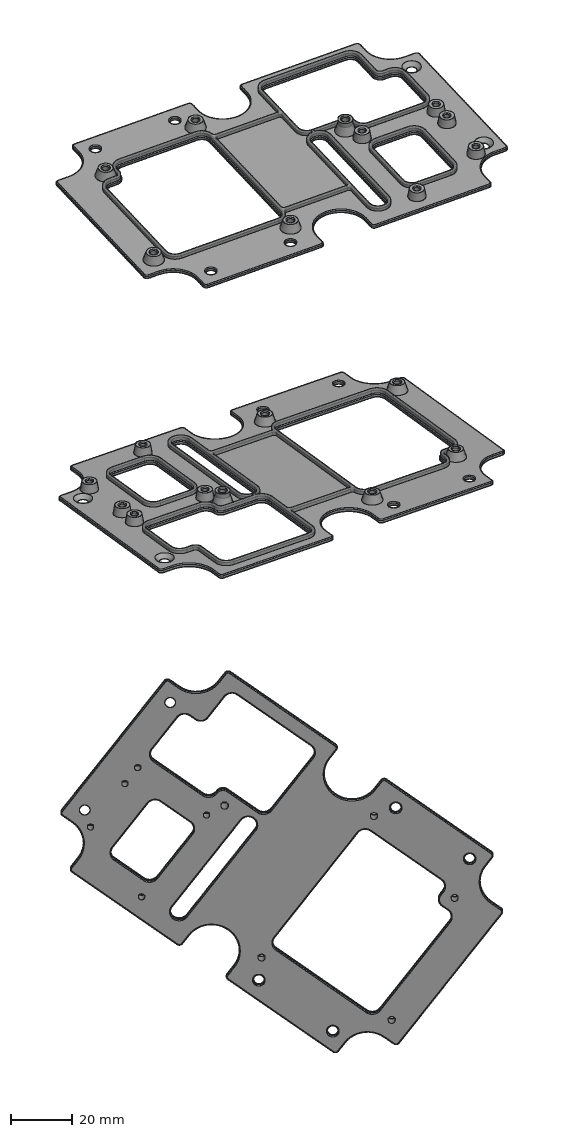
import cadquery as cq

LENGTH = 137.0
WIDTH = 87.0
PLATE = 1.5
EDGE_CHAMFER = 0.34
CORNER_RADIUS = 1.2
NOTCH_RADIUS = 9.0
NOTCH_X = 38.5
WING_TOP = 54.3

OPENING_RADIUS = 2.9
SLOT_LEFT, SLOT_RIGHT = -6.8, 36.6
SLOT_BOTTOM, SLOT_TOP = 13.8, 19.5
SLOT_Y = (SLOT_BOTTOM + SLOT_TOP) / 2
UPPER_INNER_X = -9.7
LOWER_TOP = -13.8

UPPER_OPENING = [
    (-38.5, SLOT_BOTTOM), (UPPER_INNER_X, SLOT_BOTTOM), (UPPER_INNER_X, 31.8), (-3.8, 31.8),
    (-3.8, 57.5), (-23.4, 57.5), (-23.4, 49.5), (-38.5, 49.5),
]
WINDOW = [(6.5, 29.6), (31.5, 29.6), (31.5, 47.4), (6.5, 47.4)]
LOWER_OPENING = [
    (-18.8, -56.3), (25.5, -56.3), (25.5, LOWER_TOP), (-26.0, LOWER_TOP), (-26.0, -48.2), (-18.8, -48.2),
]

RIM_TOP = 3.0
RIM_WIDTH = 1.1
RIM_SETBACK = EDGE_CHAMFER
RIM_ROUNDING = 0.34
RIB_X = 22.5
BRIDGE_WIDTH = 1.4
JUNCTION_RADIUS = 1.0

BOSS_TIP_DIAMETER = 5.0
SLIM_BASE, BROAD_BASE = 6.0, 7.0
BOSS_TOP = 4.7
TALL_BOSS_TOP = 6.3
SMALL_HOLE, MEDIUM_HOLE, LARGE_HOLE = 2.0, 2.3, 2.5
UPPER_BOSSES = [(1.2, 57.5), (8.2, 57.5), (27.1, 57.5), (1.2, 29.6), (36.9, 29.6)]
LOWER_BOSSES = [(-31.0, -14.5), (30.7, -14.5), (-23.5, -52.7), (23.0, -61.6)]
TALL_BOSS = (-5.0, 26.9)

SCREW_HOLE = 3.4
COUNTERSINK = 6.3
COUNTERSUNK_HOLES = [(-23.4, 62.6), (23.4, 62.6)]
SIDE_HOLES = [(x, y) for x in (-37.5, 37.5) for y in (-18.5, -48.5)]


def turned(profile, center):
    """Solid of revolution about a vertical axis at center, from (radius, height) points."""
    return (
        cq.Workplane("XZ").polyline(profile).close()
        .revolve(360, (0, 0, 0), (0, 1, 0)).translate((*center, 0))
    )


def flared_hole(center, diameter, mouth_diameter, top):
    """Through hole whose mouth opens at 45 degrees to mouth_diameter at height top."""
    radius = diameter / 2
    mouth = mouth_diameter / 2
    return turned([(0, 0), (radius, 0), (radius, top + radius - mouth), (mouth, top), (0, top)], center)


def boss(center, base_diameter, top):
    """Tapered standoff, with a straight neck where it rises above BOSS_TOP."""
    base = base_diameter / 2
    neck = BOSS_TIP_DIAMETER / 2
    profile = [(0, 0), (base, 0), (base, PLATE), (neck, BOSS_TOP)]
    if top > BOSS_TOP:
        profile.append((neck, top))
    profile.append((0, top))
    return turned(profile, center)


def opening_prism(points):
    return cq.Workplane("XY").polyline(points).close().extrude(RIM_TOP).edges("|Z").fillet(OPENING_RADIUS)


def slot_prism():
    return (
        cq.Workplane("XY").center((SLOT_LEFT + SLOT_RIGHT) / 2, SLOT_Y)
        .slot2D(SLOT_RIGHT - SLOT_LEFT, SLOT_TOP - SLOT_BOTTOM).extrude(RIM_TOP)
    )


def grown(prism, distance):
    return prism.faces("<Z").wires().toPending().offset2D(distance).extrude(RIM_TOP)


def bar(x0, x1, y0, y1):
    return cq.Workplane("XY").box(x1 - x0, y1 - y0, RIM_TOP, centered=False).translate((x0, y0, 0))


def make_outline():
    neck_x = NOTCH_X - NOTCH_RADIUS
    quarter = (
        cq.Workplane("XY").lineTo(0, LENGTH / 2)
        .lineTo(neck_x, LENGTH / 2)
        .lineTo(neck_x, WING_TOP + NOTCH_RADIUS)
        .radiusArc((NOTCH_X, WING_TOP), -NOTCH_RADIUS)
        .lineTo(WIDTH / 2, WING_TOP)
        .lineTo(WIDTH / 2, NOTCH_RADIUS)
        .lineTo(NOTCH_X, NOTCH_RADIUS)
        .radiusArc((neck_x, 0), -NOTCH_RADIUS)
        .close().extrude(PLATE)
    )
    for x, y in ((neck_x, LENGTH / 2), (WIDTH / 2, WING_TOP), (WIDTH / 2, NOTCH_RADIUS)):
        corner = cq.selectors.NearestToPointSelector((x, y, PLATE / 2))
        quarter = quarter.edges(corner).fillet(CORNER_RADIUS)
    half = quarter.union(quarter.mirror("YZ"))
    return half.union(half.mirror("XZ"))


def make_plate(openings):
    plate = make_outline()
    for opening in openings:
        plate = plate.cut(opening)
    holes = cq.Workplane("XY").pushPoints(SIDE_HOLES).circle(SCREW_HOLE / 2).extrude(PLATE)
    return plate.cut(holes).faces("<Z or >Z").edges().chamfer(EDGE_CHAMFER)


def make_rims(openings):
    """Rims around the openings and ribs between them, rounded at their junctions and along the top."""
    reach = RIM_SETBACK + RIM_WIDTH
    rims = bar(UPPER_INNER_X, SLOT_LEFT, SLOT_Y - BRIDGE_WIDTH / 2, SLOT_Y + BRIDGE_WIDTH / 2)
    for opening in openings:
        rims = rims.union(grown(opening, reach))
    for x in (-RIB_X, RIB_X):
        rims = rims.union(bar(x - RIM_WIDTH / 2, x + RIM_WIDTH / 2, LOWER_TOP, SLOT_BOTTOM))
        for y in (SLOT_BOTTOM - reach, LOWER_TOP + reach):
            near = cq.selectors.BoxSelector(
                (x - RIM_WIDTH, y - RIM_WIDTH, 0), (x + RIM_WIDTH, y + RIM_WIDTH, RIM_TOP)
            )
            rims = rims.edges("|Z").edges(near).fillet(JUNCTION_RADIUS)
    for opening in openings:
        rims = rims.cut(grown(opening, RIM_SETBACK))
    return rims.faces(">Z").edges().fillet(RIM_ROUNDING)


openings = [opening_prism(UPPER_OPENING), opening_prism(WINDOW), opening_prism(LOWER_OPENING), slot_prism()]
result = make_plate(openings).union(make_rims(openings))

bosses = [(center, SLIM_BASE, BOSS_TOP, SMALL_HOLE) for center in UPPER_BOSSES]
bosses += [(center, BROAD_BASE, BOSS_TOP, MEDIUM_HOLE) for center in LOWER_BOSSES]
bosses.append((TALL_BOSS, BROAD_BASE, TALL_BOSS_TOP, LARGE_HOLE))
for center, base_diameter, top, hole in bosses:
    result = result.union(boss(center, base_diameter, top))
    result = result.cut(flared_hole(center, hole, hole + 2 * EDGE_CHAMFER, top))

for center in COUNTERSUNK_HOLES:
    result = result.cut(flared_hole(center, SCREW_HOLE, COUNTERSINK, PLATE))